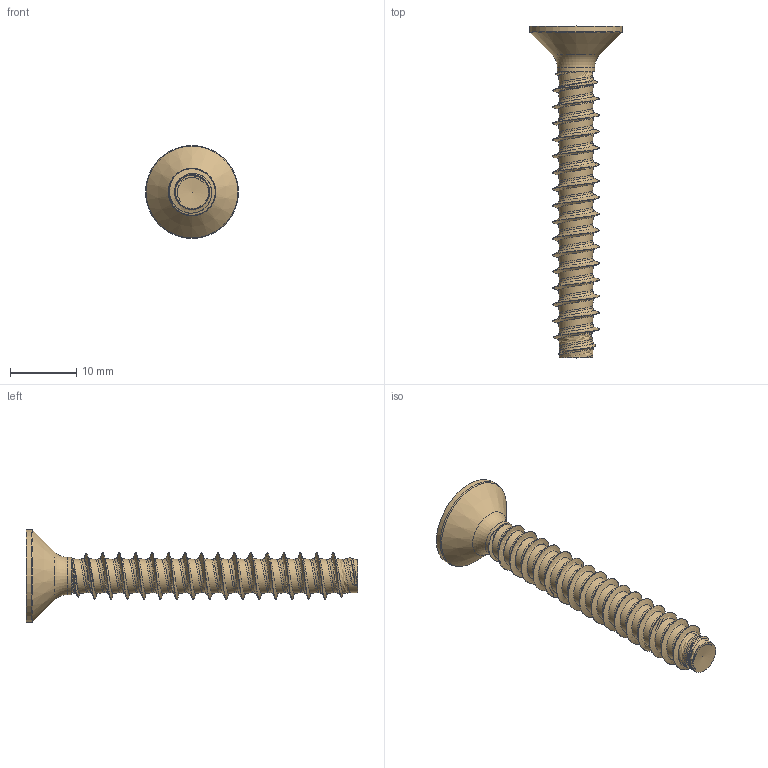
import cadquery as cq
import math

length = 50.0
head_radius = 7.0
head_rim = 0.92
rim_fillet = 0.3
shank_radius = 2.8
shank_end = 6.85
neck_fillet = 2.7
tip_dimple_depth = 0.2

core_radius = 2.5
root_radius = 2.64
crest_radius = 3.5
pitch = 2.48
first_crest = 8.46

ramp_start = -0.9
head_side_root = -0.45
crest_half_width = 0.025
tip_side_root = 0.32
groove_gap = 0.02
taper_end = ramp_start + pitch - groove_gap
seat_radius = 2.475
buried_radius = 2.2

first_turn = -1.4
full_height_from = 0.4
full_height_to = 15.35
last_turn = 16.61
run_in_slope = 0.5
run_out_slope = 0.8
sunk_root_share = 0.5
points_per_turn = 16


def head_and_core():
    """Head, filleted neck, shank and plain core, revolved about the Y axis."""
    cone_end = head_rim + head_radius - shank_radius
    half_bend = math.radians(22.5)
    rim_tangent = rim_fillet * math.tan(half_bend)
    neck_tangent = neck_fillet * math.tan(half_bend)
    rim_diagonal = rim_tangent * math.sqrt(0.5)
    neck_diagonal = neck_tangent * math.sqrt(0.5)
    profile = (
        cq.Workplane("ZY")
        .lineTo(head_radius, 0)
        .lineTo(head_radius, rim_tangent - head_rim)
        .tangentArcPoint((head_radius - rim_diagonal, -head_rim - rim_diagonal), relative=False)
        .lineTo(shank_radius + neck_diagonal, neck_diagonal - cone_end)
        .tangentArcPoint((shank_radius, -cone_end - neck_tangent), relative=False)
        .lineTo(shank_radius, -shank_end)
        .lineTo(core_radius, -shank_end)
        .lineTo(core_radius, -length)
        .lineTo(0, tip_dimple_depth - length)
        .close()
    )
    return profile.revolve(360, (0, 0, 0), (0, 1, 0))


def crest_radius_at(turn):
    """Crest radius, reduced where the thread runs in and runs out."""
    run_in = max(0, full_height_from - turn) * run_in_slope
    run_out = max(0, turn - full_height_to) * run_out_slope
    return crest_radius - run_in - run_out


def root_radius_at(turn):
    """Root radius, sinking with the crest where little of the thread is left."""
    sunk_root = seat_radius + sunk_root_share * (crest_radius_at(turn) - seat_radius)
    return min(root_radius, sunk_root)


def constant(radius):
    """Radius that stays the same along the whole thread."""
    return lambda turn: radius


def helix_edge(offset, radius_at):
    """Curve traced by one corner of the thread section."""
    steps = math.ceil((last_turn - first_turn) * points_per_turn)
    points = []
    for step in range(steps + 1):
        turn = first_turn + (last_turn - first_turn) * step / steps
        angle = 2 * math.pi * turn
        radius = radius_at(turn)
        depth = first_crest + pitch * turn + offset
        points.append(cq.Vector(radius * math.cos(angle), -depth, radius * math.sin(angle)))
    return cq.Edge.makeSpline(points)


def thread():
    """Thread with its ramp and tapered root, cut off at the shoulder and at the tip."""
    corners = [
        (ramp_start, constant(buried_radius)),
        (ramp_start, constant(seat_radius)),
        (head_side_root, root_radius_at),
        (-crest_half_width, crest_radius_at),
        (crest_half_width, crest_radius_at),
        (tip_side_root, root_radius_at),
        (taper_end, constant(seat_radius)),
        (taper_end, constant(buried_radius)),
    ]
    edges = [helix_edge(offset, radius_at) for offset, radius_at in corners]
    faces = [cq.Face.makeRuledSurface(edges[i - 1], edges[i]) for i in range(len(edges))]
    for cap_end in (0, 1):
        cap = [edge.positionAt(cap_end) for edge in edges]
        faces.append(cq.Face.makeFromWires(cq.Wire.makePolygon(cap, close=True)))
    body = cq.Solid.makeSolid(cq.Shell.makeShell(faces))
    limits = (
        cq.Workplane("XZ", origin=(0, -shank_end, 0))
        .circle(head_radius)
        .extrude(length - shank_end)
    )
    return limits.intersect(cq.Workplane(body))


result = head_and_core().union(thread())